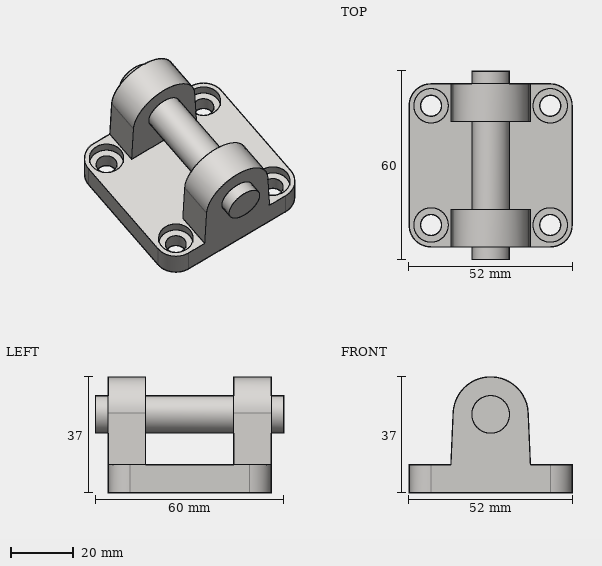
import cadquery as cq
import math

plate_side = 52.0
plate_thickness = 9.0
corner_radius = 7.0

hole_spacing = plate_side - 2 * corner_radius
hole_diameter = 6.6
counterbore_diameter = 11.0
counterbore_depth = 3.4

lug_thickness = 12.0
lug_radius = 12.0
flank_angle = math.radians(2.5)

pin_diameter = 12.0
pin_length = 60.0
pin_height = 25.0


def make_plate():
    plate = cq.Workplane("XY").rect(plate_side, plate_side).extrude(plate_thickness)
    return (
        plate.edges("|Z").fillet(corner_radius)
        .faces(">Z").workplane()
        .rect(hole_spacing, hole_spacing, forConstruction=True).vertices()
        .cboreHole(hole_diameter, counterbore_diameter, counterbore_depth)
    )


def make_lug(front_y):
    """Lug with tapered flanks tangent to a round top, extending back from front_y."""
    tangent_x = lug_radius * math.cos(flank_angle)
    tangent_z = pin_height + lug_radius * math.sin(flank_angle)
    foot_x = tangent_x + (tangent_z - plate_thickness) * math.tan(flank_angle)
    return (
        cq.Workplane("XZ", origin=(0, front_y, 0))
        .moveTo(-foot_x, plate_thickness)
        .lineTo(-tangent_x, tangent_z)
        .threePointArc((0, pin_height + lug_radius), (tangent_x, tangent_z))
        .lineTo(foot_x, plate_thickness)
        .close()
        .extrude(-lug_thickness)
    )


def make_pin():
    return (
        cq.Workplane("XZ", origin=(0, -pin_length / 2, 0))
        .center(0, pin_height)
        .circle(pin_diameter / 2)
        .extrude(-pin_length)
    )


result = make_plate()
for lug_front_y in (-plate_side / 2, plate_side / 2 - lug_thickness):
    result = result.union(make_lug(lug_front_y))
result = result.union(make_pin())